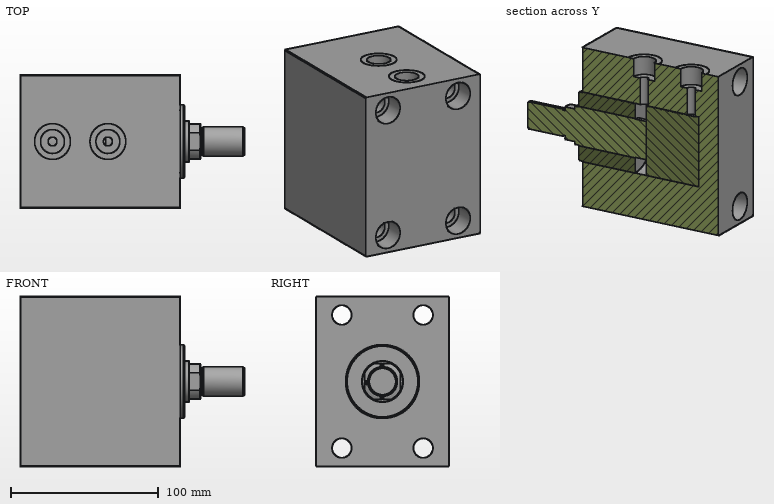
import cadquery as cq


total_length = 151.5

block_length = 108.0
block_width = 90.0
block_height = 115.0
block_edge_chamfer = 0.6

mount_spacing_y = 55.0
mount_spacing_z = 90.0
mount_hole_diameter = 13.0
mount_counterbore_diameter = 19.1
mount_counterbore_depth = 15.2

first_port_x = 21.7
port_count = 2
port_spacing = 37.4
port_spotface_diameter = 24.2
port_spotface_depth = 0.2
port_diameter = 16.2
port_depth = 13.0
feed_diameter = 6.0

bore_diameter = 50.0
bore_start = 16.0
piston_end = 57.5

gland_start = 66.0
gland_protrusion = 3.0
gland_chamfer = 1.0

rod_diameter = 28.0
collar_chamfer = 0.5
collar_end = block_length + 6.0
wrench_diameter = 26.8
wrench_flats = 24.0
wrench_chamfer_length = 0.8
wrench_chamfer_rise = 2.4
wrench_end = block_length + 14.0
neck_diameter = 18.5
neck_end = block_length + 15.0
thread_diameter = 20.0
thread_end_chamfer = 1.0


def cylinder_x(diameter, start, end):
    """Solid cylinder on the X axis between two X positions."""
    return cq.Workplane("YZ").workplane(offset=start).circle(diameter / 2).extrude(end - start)


def cut_port(block, x):
    """Spotfaced oil port in the top face, with a narrow feed hole down to the bore."""
    top = cq.Workplane("XY", origin=(x, 0, block_height / 2))
    spotface = top.circle(port_spotface_diameter / 2).extrude(-port_spotface_depth)
    port = top.circle(port_diameter / 2).extrude(-port_depth)
    feed = top.circle(feed_diameter / 2).extrude(-block_height / 2)
    return block.cut(spotface).cut(port).cut(feed)


def make_block():
    block = cq.Workplane("XY").box(block_length, block_width, block_height, centered=(False, True, True))
    block = block.edges("|X").chamfer(block_edge_chamfer)
    block = (
        block.faces("<X")
        .workplane(origin=(0, 0, 0))
        .rarray(mount_spacing_y, mount_spacing_z, 2, 2)
        .cboreHole(mount_hole_diameter, mount_counterbore_diameter, mount_counterbore_depth)
    )
    for port_index in range(port_count):
        block = cut_port(block, first_port_x + port_index * port_spacing)
    return block.cut(cylinder_x(bore_diameter, bore_start, block_length))


def make_piston():
    return cylinder_x(bore_diameter, bore_start, piston_end)


def make_gland():
    gland_end = block_length + gland_protrusion
    gland = cylinder_x(bore_diameter, gland_start, gland_end).faces(">X").chamfer(gland_chamfer)
    return gland.cut(cylinder_x(rod_diameter, gland_start, gland_end))


def make_wrench_section():
    """Chamfered round section with four wrench flats."""
    length = wrench_end - collar_end
    section = cylinder_x(wrench_diameter, collar_end, wrench_end)
    section = section.faces(">X").chamfer(wrench_chamfer_length, wrench_chamfer_rise)
    square = cq.Workplane("YZ").workplane(offset=collar_end).rect(wrench_flats, wrench_flats).extrude(length)
    return section.intersect(square)


def make_rod():
    shaft = cylinder_x(rod_diameter, piston_end, collar_end).faces(">X").chamfer(collar_chamfer)
    neck = cylinder_x(neck_diameter, wrench_end, neck_end)
    thread = cylinder_x(thread_diameter, neck_end, total_length)
    thread = thread.faces("<X").chamfer((thread_diameter - neck_diameter) / 2)
    thread = thread.faces(">X").chamfer(thread_end_chamfer)
    return shaft.union(make_wrench_section()).union(neck).union(thread)


block = make_block()
piston = make_piston()
gland = make_gland()
rod = make_rod()

result = cq.Compound.makeCompound([block.val(), piston.val(), gland.val(), rod.val()])